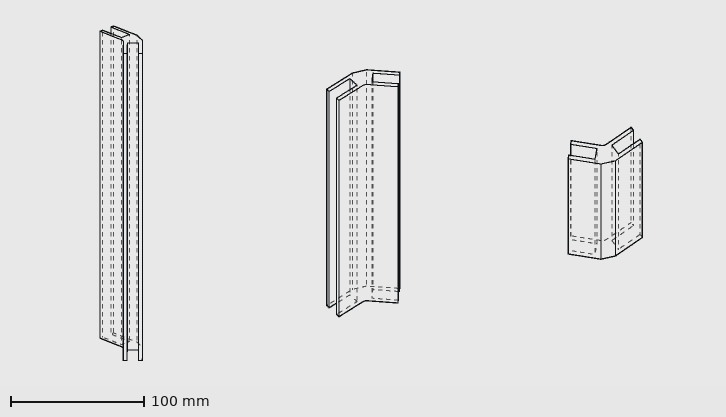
import cadquery as cq
import math

length = 250.0
bend_angle = 45.0
arm_length = 25.0
wall = 3.0
slot_width = 8.5
slot_depth = 20.0
inner_radius = 5.0
thickness = slot_width + 2 * wall

bend = math.radians(bend_angle)
fillet_setback = inner_radius * math.tan(bend / 2)
fillet_rise = inner_radius * (1 / math.cos(bend / 2) - 1)
fillet_middle = (-fillet_rise * math.sin(bend / 2), -fillet_rise * math.cos(bend / 2))


def bent_arm_point(along, height):
    """Place a point given by distance from the corner and height above the inner face."""
    return (
        along * math.cos(bend) + height * math.sin(bend),
        -along * math.sin(bend) + height * math.cos(bend),
    )


def straight_arm_point(along, height):
    """Place the same kind of point on the arm that runs along -X."""
    return (-along, height)


def channel_points(place):
    """Outline of one arm, from its outer face around the slot to its inner face."""
    slot_floor = arm_length - slot_depth
    slot_top = wall + slot_width
    stations = [
        (0, thickness),
        (arm_length, thickness),
        (arm_length, slot_top),
        (slot_floor, slot_top),
        (slot_floor, wall),
        (arm_length, wall),
        (arm_length, 0),
        (fillet_setback, 0),
    ]
    return [place(along, height) for along, height in stations]


straight_arm = channel_points(straight_arm_point)
bent_arm = channel_points(bent_arm_point)

result = (
    cq.Workplane("XY")
    .polyline(straight_arm)
    .threePointArc(fillet_middle, bent_arm[-1])
    .polyline(bent_arm[::-1], includeCurrent=False)
    .close()
    .extrude(length)
)